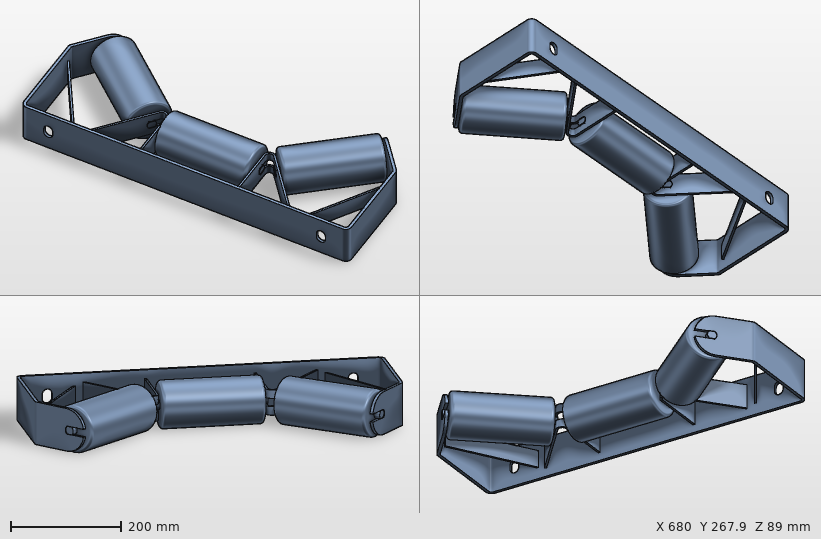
import cadquery as cq
import math

frame_width = 680.0
frame_height = 80.0
frame_thickness = 6.0
frame_bend_radius = 12.0
arm_tip_overhang = 32.5

roller_diameter = 89.0
roller_length = 190.5
roller_edge_fillet = 6.0
end_gap = 4.0

shaft_diameter = 18.5
shaft_flat_width = 15.0
shaft_stub = 1.5

trough_angle = 40.0
middle_roller_y = 100.5
side_roller_x = 207.5
side_roller_y = 175.0

bracket_height = 47.5
bracket_thickness = 4.0
bracket_bend_radius = 12.0

brace_height = 34.0
brace_thickness = 4.0
brace_angle = 58.0
brace_top_y = 163.0

mount_slot_width = 18.5
mount_slot_height = 27.0
mount_slot_x = 283.0

half_width = frame_width / 2
strip_face = roller_length / 2 + end_gap
tilt = math.radians(trough_angle)
axis_x, axis_y = math.cos(tilt), math.sin(tilt)
along_x, along_y = -axis_y, axis_x


def side_point(outward, upward):
    """Point given along and across the right side roller axis, from the roller centre."""
    return (
        side_roller_x + outward * axis_x + upward * along_x,
        side_roller_y + outward * axis_y + upward * along_y,
    )


def upward_at_x(outward, x):
    """Distance up a tilted strip surface at which it crosses the given X."""
    return (x - side_roller_x - outward * axis_x) / along_x


def upward_at_y(outward, y):
    """Distance up a tilted strip surface at which it crosses the given Y."""
    return (y - side_roller_y - outward * axis_y) / along_y


def mirrored(points):
    """Points reflected in X = 0, listed the other way round to continue an outline."""
    return [(-x, y) for x, y in reversed(points)]


def strip(outline, height):
    """Upright strip with the given plan outline, centred on Z = 0."""
    return (
        cq.Workplane("XY").workplane(offset=-height / 2)
        .polyline(outline).close().extrude(height)
    )


def x_cylinder(diameter, left, right):
    """Cylinder along the X axis between two X positions."""
    return cq.Workplane("YZ").workplane(offset=left).circle(diameter / 2).extrude(right - left)


def fillet_corner(body, corner, radius):
    """Round the Z edge that passes through one outline corner."""
    x, y = corner
    reach = 0.35
    box = cq.selectors.BoxSelector(
        (x - reach, y - reach, -frame_height), (x + reach, y + reach, frame_height)
    )
    return body.edges(box).fillet(radius)


def to_side_roller(body):
    """Move a body from the origin onto the right side roller axis."""
    return body.rotate((0, 0, 0), (0, 0, 1), trough_angle).translate((side_roller_x, side_roller_y, 0))


def mirror_pair(body):
    """The body and its reflection in X = 0."""
    return [body, body.mirror("YZ")]


def flatted_shaft(left, right):
    """Shaft between two X positions, with flats above and below its axis."""
    between_flats = cq.Workplane("XY").box(2 * frame_width, roller_diameter, shaft_flat_width)
    return x_cylinder(shaft_diameter, left, right).intersect(between_flats)


def make_roller(left_strip, right_strip):
    """Roller centred on the origin whose shaft passes through strips of the given thicknesses."""
    shell = x_cylinder(roller_diameter, -roller_length / 2, roller_length / 2)
    shell = shell.edges().fillet(roller_edge_fillet)
    hubs = x_cylinder(shaft_diameter, -strip_face, strip_face)
    shaft = flatted_shaft(-strip_face - left_strip - shaft_stub, strip_face + right_strip + shaft_stub)
    return shell.union(hubs).union(shaft)


def shaft_slot(left, right):
    """Cutter for a slot that lets the flatted shaft drop in from +Y and ends in its round."""
    length = right - left
    channel = (
        cq.Workplane("XY").box(length, roller_diameter, shaft_flat_width)
        .translate((left + length / 2, roller_diameter / 2, 0))
    )
    return flatted_shaft(left, right).union(channel)


middle_roller = make_roller(bracket_thickness, bracket_thickness).translate((0, middle_roller_y, 0))
side_rollers = mirror_pair(to_side_roller(make_roller(bracket_thickness, frame_thickness)))


def make_frame():
    """Base, side walls and inward-leaning arms bent from one strip."""
    outer_face = strip_face + frame_thickness
    inner_wall_x = half_width - frame_thickness
    outer_corner = (half_width, 0)
    outer_bend = side_point(outer_face, upward_at_x(outer_face, half_width))
    inner_bend = side_point(strip_face, upward_at_x(strip_face, inner_wall_x))
    inner_corner = (inner_wall_x, frame_thickness)
    right_outline = [
        outer_corner,
        outer_bend,
        side_point(outer_face, arm_tip_overhang),
        side_point(strip_face, arm_tip_overhang),
        inner_bend,
        inner_corner,
    ]
    frame = strip(right_outline + mirrored(right_outline), frame_height)
    inner_radius = frame_bend_radius - frame_thickness
    for side in (1, -1):
        for x, y in (outer_corner, outer_bend):
            frame = fillet_corner(frame, (side * x, y), frame_bend_radius)
        for x, y in (inner_corner, inner_bend):
            frame = fillet_corner(frame, (side * x, y), inner_radius)
    return frame


def round_arm_tips(frame):
    """Cut the free end of each arm to a half-round nose."""
    nose_centre = arm_tip_overhang - frame_height / 2
    beyond = (
        cq.Workplane("XY").box(roller_length, frame_height, 2 * frame_height)
        .translate((roller_length / 2, nose_centre + frame_height / 2, 0))
    )
    nose = x_cylinder(frame_height, 0, roller_length).translate((0, nose_centre, 0))
    for cutter in mirror_pair(to_side_roller(beyond.cut(nose))):
        frame = frame.cut(cutter)
    return frame


def cut_shaft_slots(frame):
    """Slot from each arm tip down to the shaft, open at the tip."""
    for cutter in mirror_pair(to_side_roller(shaft_slot(0, roller_length))):
        frame = frame.cut(cutter)
    return frame


def cut_mount_slots(frame):
    """Two upright slots through the base."""
    slots = (
        cq.Workplane("XZ").pushPoints([(-mount_slot_x, 0), (mount_slot_x, 0)])
        .slot2D(mount_slot_height, mount_slot_width, 90).extrude(frame_thickness * 2, both=True)
    )
    return frame.cut(slots)


frame = cut_mount_slots(cut_shaft_slots(round_arm_tips(make_frame())))


def make_bracket():
    """Right bracket: an upright leg bent over into a leg square to the side roller axis."""
    far_x = strip_face + bracket_thickness
    far_face = -strip_face - bracket_thickness
    outer_bend = side_point(-strip_face, upward_at_x(-strip_face, strip_face))
    inner_bend = side_point(far_face, upward_at_x(far_face, far_x))
    foot = upward_at_y(far_face, frame_thickness)
    outline = [
        (strip_face, frame_thickness), outer_bend,
        side_point(-strip_face, foot), side_point(far_face, foot),
        inner_bend, (far_x, frame_thickness),
    ]
    bracket = fillet_corner(strip(outline, bracket_height), outer_bend, bracket_bend_radius)
    return fillet_corner(bracket, inner_bend, bracket_bend_radius - bracket_thickness)


def cut_shaft_slot(bracket):
    """One slot over the bend, running down each leg to a shaft."""
    bend_centre = strip_face + bracket_bend_radius
    middle_slot = shaft_slot(0, bend_centre).translate((0, middle_roller_y, 0))
    side_slot = to_side_roller(shaft_slot(-bend_centre, 0))
    return bracket.cut(middle_slot).cut(side_slot)


brackets = mirror_pair(cut_shaft_slot(make_bracket()))


def make_brace():
    """Right brace: a flat strip leaning from the base to the side wall."""
    slope = math.radians(brace_angle)
    wall_x = half_width - frame_thickness
    rise = brace_top_y - frame_thickness
    foot_x = wall_x - rise / math.tan(slope)
    foot_shift = brace_thickness / math.sin(slope)
    outline = [
        (wall_x, brace_top_y), (foot_x, frame_thickness), (foot_x - foot_shift, frame_thickness),
        (wall_x - brace_thickness * math.sin(slope), brace_top_y + brace_thickness * math.cos(slope)),
    ]
    return strip(outline, brace_height)


braces = mirror_pair(make_brace())

result = cq.Compound.makeCompound(
    [body.val() for body in [frame, middle_roller, *side_rollers, *brackets, *braces]]
)